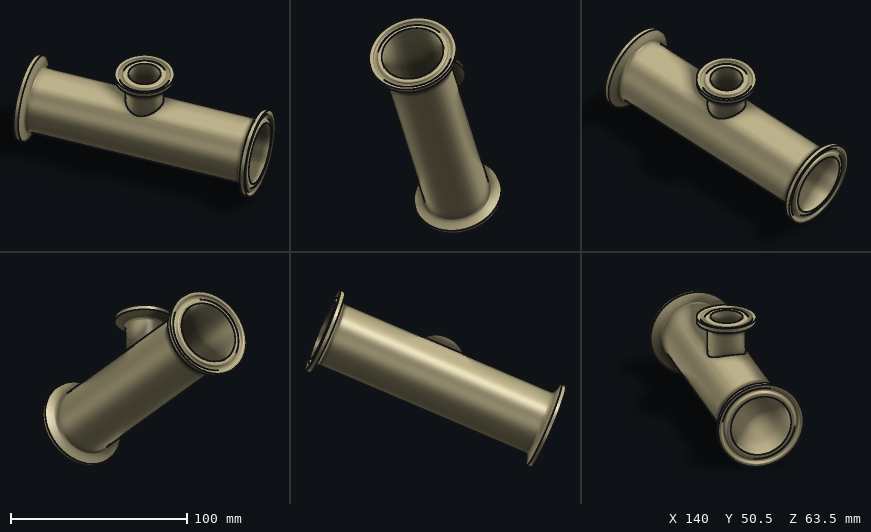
import cadquery as cq
import math

run_length = 140.0
run_outer_diameter = 38.1
run_bore = 35.7
run_flange_diameter = 50.5
run_groove_diameter = 43.4

overall_height = 63.5
branch_top = overall_height - run_flange_diameter / 2
branch_outer_diameter = 21.7
branch_bore = 18.3
branch_flange_diameter = 34.0
branch_groove_diameter = 27.3

rim_thickness = 2.8
cone_angle = math.radians(20)
neck_radius = 2.0

groove_depth = 1.5
groove_half_width = 2.1
hollow_half_width = 1.3


def gasket_groove(plane, mean_diameter):
    """Ring-shaped cutter for the gasket groove in the face at y = 0."""
    middle = mean_diameter / 2
    lip_width = groove_half_width - hollow_half_width
    lip_depth = groove_depth * lip_width / groove_half_width
    lip_angle = 2 * math.atan(groove_depth / groove_half_width)
    lip_radius = lip_width / math.sin(lip_angle)
    lip_middle_offset = groove_half_width - lip_radius * math.sin(lip_angle / 2)
    lip_middle_depth = lip_radius * (1 - math.cos(lip_angle / 2))
    return (
        cq.Workplane(plane)
        .moveTo(middle - groove_half_width, 0)
        .threePointArc(
            (middle - lip_middle_offset, -lip_middle_depth),
            (middle - hollow_half_width, -lip_depth),
        )
        .threePointArc((middle, -groove_depth), (middle + hollow_half_width, -lip_depth))
        .threePointArc(
            (middle + lip_middle_offset, -lip_middle_depth),
            (middle + groove_half_width, 0),
        )
        .close()
        .revolve(360, (0, 0), (0, 1))
    )


def clamped_pipe(plane, length, pipe_diameter, flange_diameter, groove_diameter):
    """Solid pipe with a clamp flange; the face is at y = 0 and y points outward."""
    pipe_radius = pipe_diameter / 2
    flange_radius = flange_diameter / 2
    cone_height = (flange_radius - pipe_radius) * math.tan(cone_angle)
    corner_y = -rim_thickness - cone_height
    tangent_length = neck_radius * math.tan((math.pi / 2 - cone_angle) / 2)
    neck_start = (
        pipe_radius + tangent_length * math.cos(cone_angle),
        corner_y + tangent_length * math.sin(cone_angle),
    )
    body = (
        cq.Workplane(plane)
        .lineTo(flange_radius, 0)
        .lineTo(flange_radius, -rim_thickness)
        .lineTo(*neck_start)
        .tangentArcPoint((pipe_radius, corner_y - tangent_length), relative=False)
        .lineTo(pipe_radius, -length)
        .lineTo(0, -length)
        .close()
        .revolve(360, (0, 0), (0, 1))
    )
    return body.cut(gasket_groove(plane, groove_diameter))


def run_half(side):
    """Flanged half of the run, reaching from the middle to the -X (-1) or +X (1) end."""
    plane = cq.Plane(origin=(side * run_length / 2, 0, 0), xDir=(0, 0, 1), normal=(0, side, 0))
    return clamped_pipe(
        plane, run_length / 2, run_outer_diameter, run_flange_diameter, run_groove_diameter
    )


branch_plane = cq.Plane(origin=(0, 0, branch_top), xDir=(1, 0, 0), normal=(0, -1, 0))
branch = clamped_pipe(
    branch_plane,
    branch_top,
    branch_outer_diameter,
    branch_flange_diameter,
    branch_groove_diameter,
)

run_hole = cq.Workplane("YZ").circle(run_bore / 2).extrude(run_length / 2, both=True)
branch_hole = cq.Workplane("XY").circle(branch_bore / 2).extrude(branch_top)

result = run_half(-1).union(run_half(1)).union(branch).cut(run_hole).cut(branch_hole).clean()